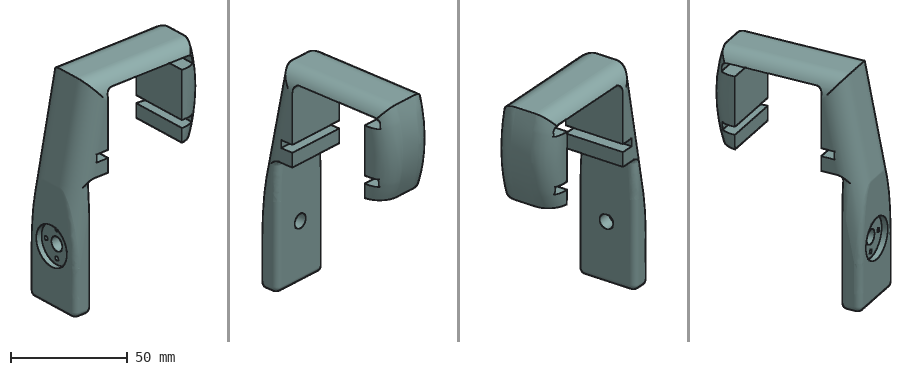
import cadquery as cq
import math

width = 30.0
height = 110.0
depth = 73.8

slant_top_y = 10.0
bend_z = 60.2
hook_end_y = 70.2
clamp_bottom_z = 65.0
outer_radius = 10.0

strap_thickness = 5.0
front_jaw_y = 19.0
back_jaw_y = 60.7
relief_y = 68.1
back_jaw_top_z = 100.3
opening_radius = 3.0

slot_bottom_z = 72.2
slot_top_z = 76.0
slot_front_y = 12.5
slot_back_y = 67.5

blade_thickness = 10.0
blade_radius = 3.0

mount_z = 30.0
recess_diameter = 20.0
recess_depth = 3.0
bore_diameter = 7.0
pin_count = 4
pin_circle_radius = 7.0
pin_diameter = 2.0
pin_depth = 3.0

tolerance = 0.01


def across_width(sketch):
    """Extrude a YZ outline over the full width, centred on X = 0."""
    return sketch.extrude(width / 2, both=True)


def block(y_min, y_max, z_min, z_max):
    """Full-width block between the given Y and Z limits."""
    outline = cq.Workplane("YZ").moveTo(y_min, z_min).lineTo(y_max, z_min)
    return across_width(outline.lineTo(y_max, z_max).lineTo(y_min, z_max).close())


def front_cylinder(x, z, diameter, y_start, length):
    """Cylinder that runs from y_start toward +Y."""
    axis_start = cq.Vector(x, y_start, z)
    return cq.Workplane(cq.Solid.makeCylinder(diameter / 2, length, axis_start, cq.Vector(0, 1, 0)))


def sloping_envelope():
    """Body under the top and behind the sloping front, with its long outer edges rounded."""
    slope = slant_top_y / (height - bend_z)
    slant_foot_y = slant_top_y - slope * height
    outline = (
        cq.Workplane("YZ")
        .moveTo(slant_foot_y, 0)
        .lineTo(slant_top_y, height)
        .lineTo(depth, height)
        .lineTo(depth, 0)
        .close()
    )
    middle_front = (0, slant_foot_y + slope * height / 2, height / 2)
    body = across_width(outline)
    side_edges = body.faces(cq.selectors.NearestToPointSelector(middle_front)).edges("not |X")
    side_edges = side_edges.add(body.faces(">Z").edges("not |X"))
    return side_edges.fillet(outer_radius)


def hook_envelope():
    """Disc with rounded rims; its edge forms the bowed back of the hook."""
    chord = height - clamp_bottom_z
    bow = depth - hook_end_y
    hook_radius = (chord**2 / 4 + bow**2) / (2 * bow)
    centre = (depth - hook_radius, clamp_bottom_z + chord / 2)
    disc = across_width(cq.Workplane("YZ").center(*centre).circle(hook_radius))
    return disc.edges("%CIRCLE").fillet(outer_radius)


def rounded_blade():
    """Upright blade with all edges rounded, except the bend line and its flat top end."""
    blade = block(0, blade_thickness, 0, clamp_bottom_z).intersect(sloping_envelope())
    front_edges = blade.faces("<Y").edges(cq.selectors.BoxSelector(
        (-width, -tolerance, -tolerance), (width, tolerance, bend_z - tolerance)))
    bottom_edges = blade.faces("<Z").edges()
    back_edges = blade.faces(">Y").edges("not |X")
    return front_edges.add(bottom_edges).add(back_edges).fillet(blade_radius)


def flared_stock():
    """Oversized jaw block on the blade, with a flare all around the joint.

    The block overhangs the blade on every side, so that the envelopes can trim the flare.
    """
    overhang = 2 * blade_radius
    joint_box = cq.selectors.BoxSelector(
        (-width / 2 + tolerance, -tolerance, clamp_bottom_z - tolerance),
        (width / 2 - tolerance, blade_thickness + tolerance, clamp_bottom_z + tolerance))
    jaws = cq.Workplane("XY", origin=(0, -overhang, clamp_bottom_z)).box(
        width + 2 * overhang, depth + overhang, height - clamp_bottom_z, centered=(True, False, False))
    return jaws.union(rounded_blade()).edges(joint_box).fillet(blade_radius)


def outer_body():
    """Flared stock trimmed to the outer shape of the strap, jaws and blade."""
    hook_limits = hook_envelope().intersect(block(0, depth, clamp_bottom_z, height))
    limits = hook_limits.union(block(0, 2 * blade_thickness, 0, clamp_bottom_z))
    return flared_stock().intersect(limits).intersect(sloping_envelope())


def opening():
    """Space between the jaws, with the relief above the back jaw."""
    strap_z = height - strap_thickness
    relief = block(front_jaw_y, relief_y, back_jaw_top_z, strap_z)
    relief = relief.edges("|X and >Z").fillet(opening_radius)
    return block(front_jaw_y, back_jaw_y, 0, back_jaw_top_z).union(relief)


def cut_mount(body):
    """Cut the round recess, its through bore and the ring of blind pin holes."""
    body = body.cut(front_cylinder(0, mount_z, recess_diameter, 0, recess_depth))
    body = body.cut(front_cylinder(0, mount_z, bore_diameter, 0, blade_thickness))
    for index in range(pin_count):
        angle = 2 * math.pi * index / pin_count
        pin_x = pin_circle_radius * math.cos(angle)
        pin_z = mount_z + pin_circle_radius * math.sin(angle)
        body = body.cut(front_cylinder(pin_x, pin_z, pin_diameter, recess_depth, pin_depth))
    return body


slot = block(slot_front_y, slot_back_y, slot_bottom_z, slot_top_z)
result = cut_mount(outer_body().cut(opening()).cut(slot))